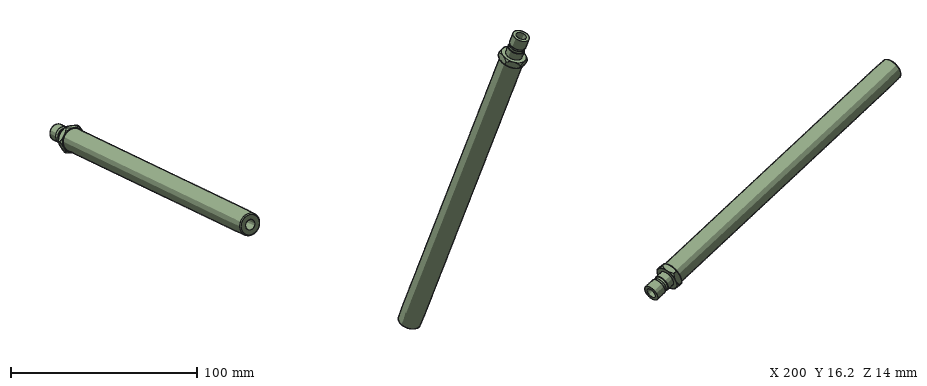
import cadquery as cq

total_length = 200.0
neck_taper_start = 6.0
neck_start = 7.5
neck_end = 8.8
hex_start = 13.0
hex_width = 4.0
end_taper_length = 9.0
end_chamfer = 0.5

bore_diameter = 5.8
spigot_diameter = 9.5
neck_diameter = 8.5
barrel_diameter = 13.0
taper_end_diameter = 12.5
hex_across_flats = 14.0
hex_chamfer = 1.2

x_min = -total_length / 2
x_max = total_length / 2
hex_x = x_min + hex_start


def revolve_about_x(points):
    """Revolve a closed outline of (x, radius) points about X."""
    outline = [(x, -radius) for x, radius in points]
    return cq.Workplane("XY").polyline(outline).close().revolve(360, (0, 0, 0), (1, 0, 0))


def make_turned_body():
    """Necked spigot and barrel with a slightly tapered, chamfered far end."""
    spigot_radius = spigot_diameter / 2
    neck_radius = neck_diameter / 2
    barrel_radius = barrel_diameter / 2
    end_radius = taper_end_diameter / 2
    return revolve_about_x([
        (x_min, 0),
        (x_min, spigot_radius),
        (x_min + neck_taper_start, spigot_radius),
        (x_min + neck_start, neck_radius),
        (x_min + neck_end, neck_radius),
        (x_min + neck_end, spigot_radius),
        (hex_x, spigot_radius),
        (hex_x, barrel_radius),
        (x_max - end_taper_length, barrel_radius),
        (x_max - end_chamfer, end_radius),
        (x_max, end_radius - end_chamfer),
        (x_max, 0),
    ])


def make_hexagon():
    """Hexagonal collar, flats facing up and down, corners rounded off by a cone at both ends."""
    prism = (
        cq.Workplane("YZ", origin=(hex_x, 0, 0))
        .polygon(6, hex_across_flats, circumscribed=True)
        .extrude(hex_width)
        .rotate((0, 0, 0), (1, 0, 0), 30)
    )
    face_radius = hex_across_flats / 2
    hex_end = hex_x + hex_width
    corner_envelope = revolve_about_x([
        (hex_x, 0),
        (hex_x, face_radius),
        (hex_x + hex_chamfer, face_radius + hex_chamfer),
        (hex_end - hex_chamfer, face_radius + hex_chamfer),
        (hex_end, face_radius),
        (hex_end, 0),
    ])
    return prism.intersect(corner_envelope)


def make_bore():
    """Straight hole through the whole length."""
    return cq.Workplane("YZ", origin=(x_min, 0, 0)).circle(bore_diameter / 2).extrude(total_length)


result = make_turned_body().union(make_hexagon()).cut(make_bore())